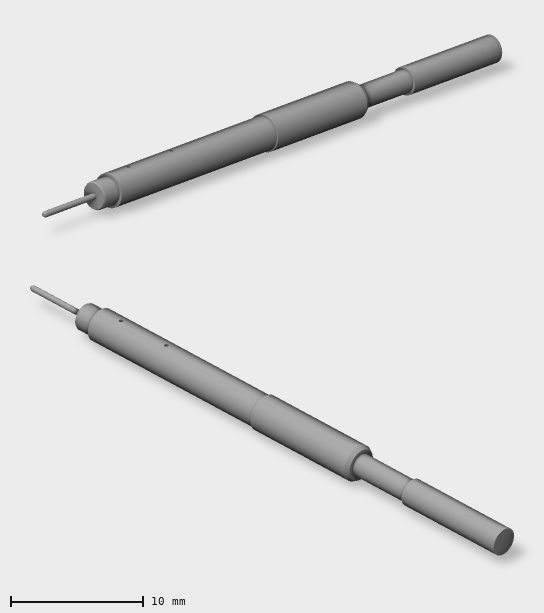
import cadquery as cq

total_length = 48.8
rear_y = total_length / 2
tip_y = -total_length / 2

tail_diameter = 2.25
neck_diameter = 1.85
collar_diameter = 3.0
barrel_diameter = 2.75
nose_diameter = 2.25
pin_diameter = 0.5

tail_length = 9.5
neck_length = 5.2
collar_length = 10.05
barrel_length = 16.9
nose_length = 1.6

collar_chamfer_length = 0.35
collar_chamfer_depth = 0.2
nose_chamfer_length = 0.15
nose_chamfer_depth = 0.075
pin_chamfer_length = 0.2
pin_chamfer_depth = 0.1

dimple_diameter = 0.35
dimple_depth = 0.25
dimple_setback = 2.15
dimple_spacing = 4.7


def section(diameter, start_y, length):
    """Cylinder on the Y axis running from start_y toward -Y."""
    plane = cq.Workplane("XZ", origin=(0, start_y, 0))
    return plane.circle(diameter / 2).extrude(length)


neck_y = rear_y - tail_length
collar_y = neck_y - neck_length
barrel_y = collar_y - collar_length
nose_y = barrel_y - barrel_length
pin_y = nose_y - nose_length

tail = section(tail_diameter, rear_y, tail_length)
neck = section(neck_diameter, neck_y, neck_length)

collar = section(collar_diameter, collar_y, collar_length)
collar = collar.faces(">Y").chamfer(collar_chamfer_length, collar_chamfer_depth)

barrel = section(barrel_diameter, barrel_y, barrel_length)

nose = section(nose_diameter, nose_y, nose_length)
nose = nose.faces("<Y").chamfer(nose_chamfer_length, nose_chamfer_depth)

pin = section(pin_diameter, pin_y, pin_y - tip_y)
pin = pin.faces("<Y").chamfer(pin_chamfer_length, pin_chamfer_depth)

body = tail.union(neck).union(collar).union(barrel).union(nose).union(pin)

dimple_floor_z = barrel_diameter / 2 - dimple_depth
front_dimple_y = nose_y + dimple_setback
for dimple_y in (front_dimple_y, front_dimple_y + dimple_spacing):
    drill = cq.Workplane("XY", origin=(0, dimple_y, dimple_floor_z))
    body = body.cut(drill.circle(dimple_diameter / 2).extrude(barrel_diameter))

result = body